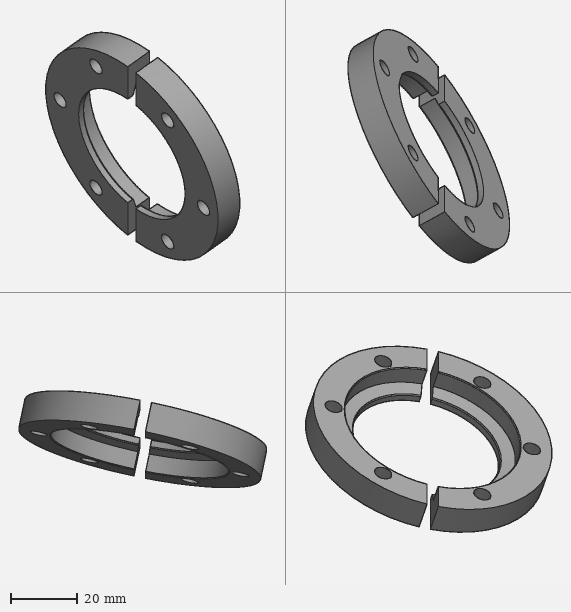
import cadquery as cq
import math

outer_radius = 74.6 / 2
bore_radius = 46.0 / 2
thickness = 9.2
split_gap = 3.5

recess_radius = 27.4
lip_land = 2.3
shoulder_slope = math.tan(math.radians(15.0))
shoulder_depth = (recess_radius - bore_radius) * shoulder_slope
edge_break = 0.3

bolt_hole_diameter = 5.3
bolt_circle_radius = 31.0
bolt_count = 6

front_y = -thickness / 2
back_y = thickness / 2
land_end_y = front_y + lip_land
shoulder_end_y = land_end_y + shoulder_depth


def make_ring():
    """Full ring: the section in the XY plane (X is the radius) revolved about Y."""
    return (
        cq.Workplane("XY")
        .moveTo(bore_radius, front_y)
        .lineTo(outer_radius, front_y)
        .lineTo(outer_radius, back_y)
        .lineTo(recess_radius + edge_break, back_y)
        .lineTo(recess_radius, back_y - edge_break)
        .lineTo(recess_radius, shoulder_end_y)
        .lineTo(bore_radius + edge_break, land_end_y + edge_break * shoulder_slope)
        .lineTo(bore_radius, land_end_y - edge_break)
        .close()
        .revolve(360, (0, 0, 0), (0, 1, 0))
    )


def make_bolt_holes():
    """Cutters for the through holes, equally spaced on the bolt circle from +X."""
    return (
        cq.Workplane("XZ")
        .polarArray(bolt_circle_radius, 0, 360, bolt_count)
        .circle(bolt_hole_diameter / 2)
        .extrude(thickness, both=True)
    )


def make_half_ring(side):
    """Half ring on the +X side (side = 1) or on the -X side (side = -1)."""
    keep_width = outer_radius - split_gap / 2
    keep_center_x = side * (outer_radius + split_gap / 2) / 2
    keep_box = (
        cq.Workplane("XY")
        .box(keep_width, thickness, 2 * outer_radius)
        .translate((keep_center_x, 0, 0))
    )
    return make_ring().cut(make_bolt_holes()).intersect(keep_box)


half_rings = [make_half_ring(side) for side in (-1, 1)]

result = cq.Compound.makeCompound([half_ring.val() for half_ring in half_rings])